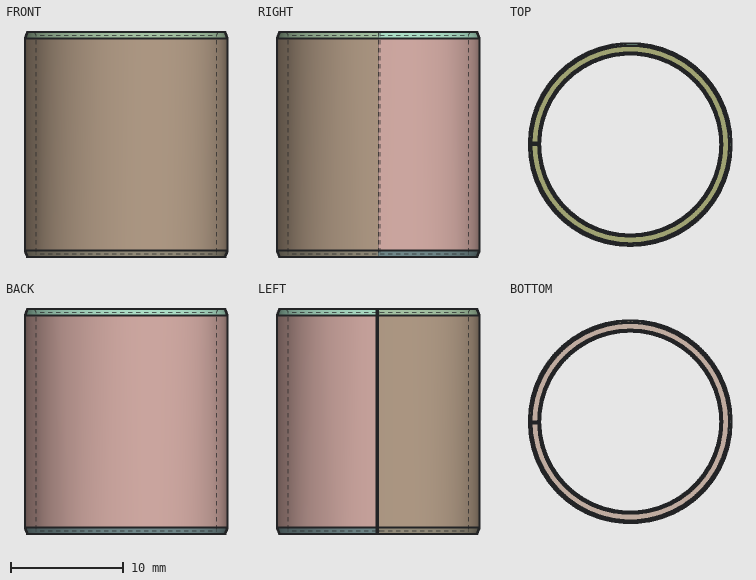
import cadquery as cq
import math

outer_diameter = 18.0
bore_diameter = 16.0
length = 20.0

outer_chamfer_length = 0.6
outer_chamfer_angle = 20.0
inner_chamfer_length = 0.3
inner_chamfer_angle = 30.0

joint_angle = 1.0

outer_radius = outer_diameter / 2
bore_radius = bore_diameter / 2
half_length = length / 2


def chamfer_depth(axial_length, angle):
    """Radial depth of a chamfer inclined at the given angle to the axis."""
    return axial_length * math.tan(math.radians(angle))


def make_sleeve():
    """Revolve the chamfered wall section about Z."""
    end_outer_radius = outer_radius - chamfer_depth(outer_chamfer_length, outer_chamfer_angle)
    end_bore_radius = bore_radius + chamfer_depth(inner_chamfer_length, inner_chamfer_angle)
    outer_land = half_length - outer_chamfer_length
    bore_land = half_length - inner_chamfer_length
    section = (
        cq.Workplane("XZ")
        .moveTo(bore_radius, -bore_land)
        .lineTo(end_bore_radius, -half_length)
        .lineTo(end_outer_radius, -half_length)
        .lineTo(outer_radius, -outer_land)
        .lineTo(outer_radius, outer_land)
        .lineTo(end_outer_radius, half_length)
        .lineTo(end_bore_radius, half_length)
        .lineTo(bore_radius, bore_land)
        .close()
    )
    return section.revolve(360, (0, 0, 0), (0, 1, 0))


def make_joint_cutter():
    """Thin wedge from the axis that opens the wall along its full length on the -X side."""
    reach = outer_diameter
    opening = reach * math.tan(math.radians(joint_angle))
    wedge = cq.Workplane("XY").polyline([(0, 0), (-reach, opening), (-reach, 0)]).close()
    return wedge.extrude(half_length, both=True)


result = make_sleeve().cut(make_joint_cutter())